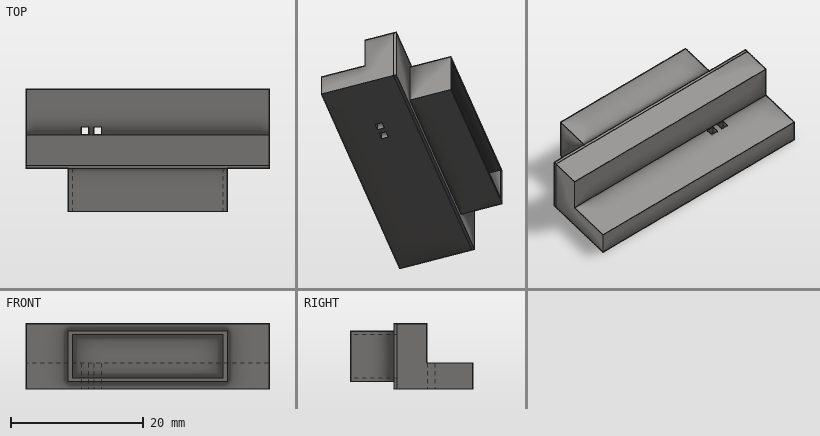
import cadquery as cq

length = 36.83
height = 9.9
ledge_depth = 6.95
ledge_height = 3.98
wall_depth = 4.55

hole_size = 1.1
hole_count = 2
hole_pitch = 1.9
first_hole_x = 8.9
hole_wall_gap = 0.1

flange_depth = 0.45
sleeve_depth = 6.55
sleeve_width = 24.1
sleeve_height = 7.65
side_wall = 0.65
rim_wall = 0.55

flange_front = sleeve_depth
housing_front = flange_front + flange_depth
wall_back = housing_front + wall_depth
ledge_back = wall_back + ledge_depth


def box(width, depth, tall, x, y, z):
    """Box with its minimum corner at (x, y, z)."""
    return cq.Workplane("XY").box(width, depth, tall, centered=False).translate((x, y, z))


def centred_prism(width, tall, front, back):
    """Box between two Y positions, centred on the housing's front face in X and Z."""
    return box(width, back - front, tall, (length - width) / 2, front, (height - tall) / 2)


def make_housing():
    """L-shaped block with a row of square holes through its ledge."""
    body = box(length, wall_depth, height, 0, housing_front, 0)
    body = body.union(box(length, ledge_back - housing_front, ledge_height, 0, housing_front, 0))
    for i in range(hole_count):
        hole_x = first_hole_x + i * hole_pitch - hole_size / 2
        hole_y = wall_back + hole_wall_gap
        body = body.cut(box(hole_size, hole_size, ledge_height, hole_x, hole_y, 0))
    return body.solids()


def make_connector():
    """Flange and sleeve in one piece, with the opening running through both."""
    flange = centred_prism(length, height, flange_front, housing_front)
    sleeve = centred_prism(sleeve_width, sleeve_height, 0, housing_front)
    opening = centred_prism(
        sleeve_width - 2 * side_wall,
        sleeve_height - 2 * rim_wall,
        0,
        housing_front,
    )
    return flange.union(sleeve).cut(opening).solids()


housing = make_housing()
connector = make_connector()

result = cq.Compound.makeCompound([housing.val(), connector.val()])